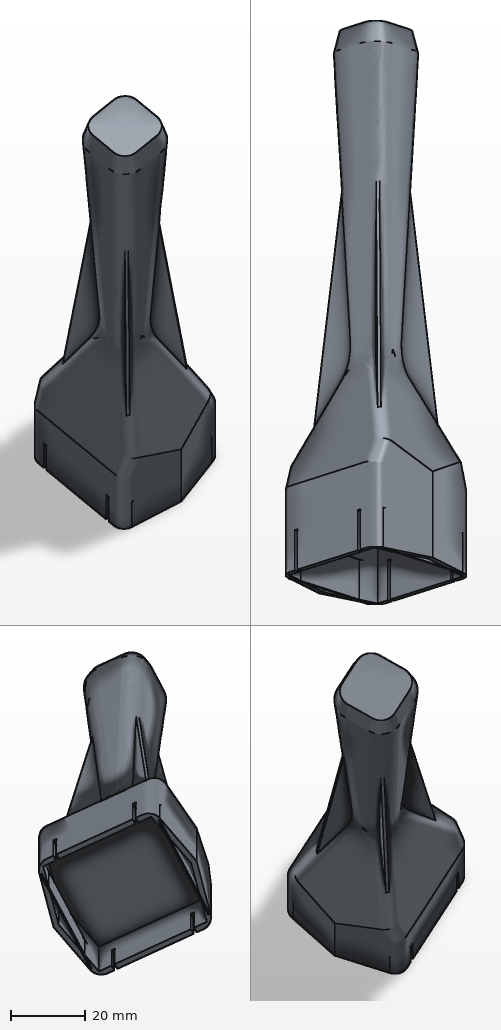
import cadquery as cq
import math

foot_drop = 0.3
base_half_x = 21.5
base_half_y = 18.52
side_lean = 0.22
base_corner_radius = 3.9

shoulder_z = 24.8
neck_z = 58.9
neck_half = 6.4
shoulder_top_z = 64.3
front_slope = (base_half_y - neck_half) / (neck_z - shoulder_z)
side_slope = (base_half_x - neck_half) / (neck_z - shoulder_z)

total_height = 155.0
handle_start_z = 54.2
handle_half_top = 9.85
handle_taper = 0.039
handle_corner_radius = 5.97
cap_height = 6.4
cap_inset = 1.5
neck_fillet = 21.7

fin_angle = 42.0
fin_thickness = 1.0
fin_bottom_z = 41.0
fin_bottom_reach = 16.9
fin_top_z = 113.2
fin_top_reach = 8.8

wall = 1.5
cavity_top_z = 18.6
slot_x = 12.0
slot_width = 1.0
slot_top_z = 11.8

clip_outer_x = 18.0
clip_thickness = 0.5
clip_half_y = 15.2
foot_length = 3.5
clip_top_z = slot_top_z


def base_prism(inset, top_z):
    """Six-sided prism on the rim plane, with every side moved inward by inset."""
    ridge_x = base_half_x - inset * math.hypot(1, side_lean)
    half_y = base_half_y - inset
    corner_x = ridge_x - side_lean * half_y
    return (
        cq.Workplane("XY", origin=(0, 0, foot_drop))
        .polyline([
            (ridge_x, 0), (corner_x, half_y), (-corner_x, half_y),
            (-ridge_x, 0), (-corner_x, -half_y), (corner_x, -half_y),
        ])
        .close()
        .extrude(top_z - foot_drop)
    )


def shoulder_wedge(plane, half_width, slope):
    """Long prism, upright as far as the shoulder and then leaning inward on both sides."""
    top_half_width = half_width - slope * (shoulder_top_z - shoulder_z)
    return (
        cq.Workplane(plane)
        .polyline([
            (-half_width, 0), (half_width, 0), (half_width, shoulder_z),
            (top_half_width, shoulder_top_z), (-top_half_width, shoulder_top_z),
            (-half_width, shoulder_z),
        ])
        .close()
        .extrude(base_half_x, both=True)
    )


def is_outer_corner(edge):
    """True for the edges that climb the four corners, away from the ridge and the flat rims."""
    low, high = edge.startPoint(), edge.endPoint()
    off_ridge = min(abs(low.y), abs(high.y)) > 1.5
    return off_ridge and abs(low.z - high.z) > base_corner_radius


def make_base():
    body = base_prism(0, shoulder_top_z)
    body = body.intersect(shoulder_wedge("XZ", base_half_x, side_slope))
    body = body.intersect(shoulder_wedge("YZ", base_half_y, front_slope))
    corners = [edge for edge in body.edges().vals() if is_outer_corner(edge)]
    return body.newObject(corners).fillet(base_corner_radius)


def rounded_square(z, half_width, radius):
    section = cq.Sketch().rect(2 * half_width, 2 * half_width).vertices().fillet(radius)
    return section.moved(cq.Location(cq.Vector(0, 0, z)))


def make_handle():
    cap_z = total_height - cap_height
    half_bottom = handle_half_top - handle_taper * (cap_z - handle_start_z)
    bottom = rounded_square(handle_start_z, half_bottom, handle_corner_radius)
    cap_edge = rounded_square(cap_z, handle_half_top, handle_corner_radius)
    top = rounded_square(
        total_height, handle_half_top - cap_inset, handle_corner_radius - cap_inset
    )
    grip = cq.Workplane().placeSketch(bottom, cap_edge).loft(ruled=True)
    cap = cq.Workplane().placeSketch(cap_edge, top).loft(ruled=True)
    return grip.union(cap)


def join_with_neck(base, handle):
    """Unite base and handle, and round the hollow line where they meet."""
    body = base.union(handle)
    neck_line = []
    for edge in body.edges().vals():
        box = edge.BoundingBox()
        if box.zmin > handle_start_z + 0.8 and box.zmax < shoulder_top_z:
            neck_line.append(edge)
    return body.newObject(neck_line).fillet(neck_fillet)


def make_fin(angle):
    return (
        cq.Workplane("XZ")
        .polyline([
            (-fin_bottom_reach, fin_bottom_z), (fin_bottom_reach, fin_bottom_z),
            (fin_top_reach, fin_top_z), (-fin_top_reach, fin_top_z),
        ])
        .close()
        .extrude(fin_thickness / 2, both=True)
        .rotate((0, 0, 0), (0, 0, 1), angle)
    )


def make_slot(x):
    return cq.Workplane("XY").box(
        slot_width, 3 * base_half_y, slot_top_z, centered=(True, True, False)
    ).translate((x, 0, 0))


def make_clip(side):
    """Plate across one X side; side is -1 or 1."""
    plate = cq.Workplane("XY").box(
        clip_thickness, 2 * clip_half_y, clip_top_z, centered=(True, True, False)
    )
    gap_between_feet = cq.Workplane("XY").box(
        clip_thickness, 2 * (clip_half_y - foot_length), foot_drop, centered=(True, True, False)
    )
    center_x = side * (clip_outer_x - clip_thickness / 2)
    return plate.cut(gap_between_feet).translate((center_x, 0, 0))


clips = [make_clip(side) for side in (-1, 1)]

housing = join_with_neck(make_base(), make_handle())
for angle in (fin_angle, -fin_angle):
    housing = housing.union(make_fin(angle))
housing = housing.cut(base_prism(wall, cavity_top_z))
for x in (-slot_x, slot_x):
    housing = housing.cut(make_slot(x))
for clip in clips:
    housing = housing.cut(clip)

result = cq.Compound.makeCompound([housing.val(), *[clip.val() for clip in clips]])